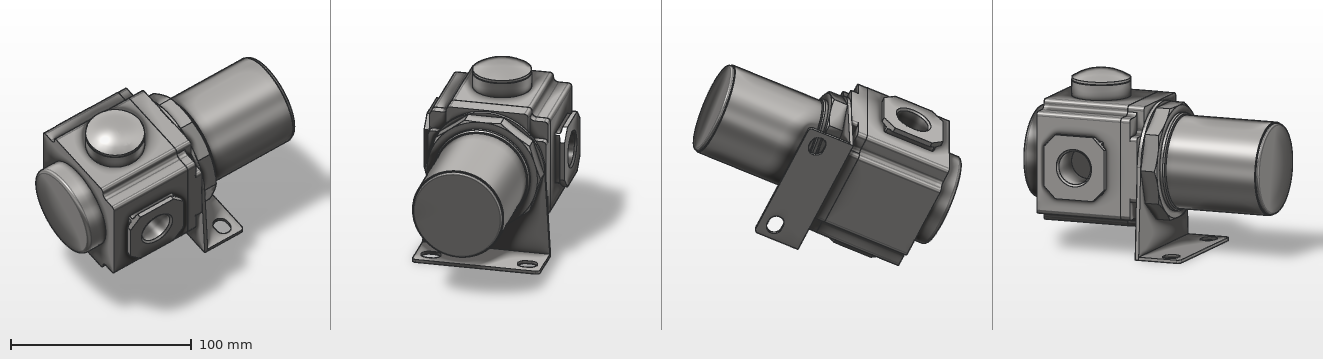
import cadquery as cq
import math


CAP_FRONT = -36.2
BODY_FRONT = -24.7
BODY_REAR = 25.3
NOTCH_FRONT = 30.8
COVER_REAR = 35.0
PLATE_REAR = 37.1
NUT_REAR = 46.1
COLLAR_REAR = 48.6
KNOB_FRONT = 49.3
KNOB_LENGTH = 55.0
KNOB_REAR = KNOB_FRONT + KNOB_LENGTH

BODY_HALF_WIDTH = 33.7
BODY_HALF_HEIGHT = 34.0
RIDGE_HALF_WIDTH = 23.2
SHOULDER_HEIGHT = 28.7
NOTCH_SHOULDER_HEIGHT = 18.4
CORNER_RADIUS = 2.1
INNER_RADIUS = 3.0
COVER_INSET = 0.1
COVER_RIDGE_HALF_WIDTH = 23.3
SELECTION_MARGIN = 0.1

CAP_RADIUS = 26.0
CAP_ROUND = 1.8
KNOB_RADIUS = 26.0
KNOB_TIP_RADIUS = 25.3
KNOB_TIP_LENGTH = 1.7
KNOB_STEP_CHAMFER = 0.4
KNOB_TIP_ROUND = 0.8
NECK_RADIUS = 22.9
COLLAR_RADIUS = 27.4
COLLAR_CHAMFER = 0.8

NUT_SIDES = 10
NUT_CORNER_RADIUS = 33.0
NUT_CHAMFER_ANGLE = 30

BRACKET_ARC_RADIUS = 33.3
BRACKET_HALF_WIDTH = 36.2
BRACKET_BOTTOM = -49.9
FOOT_THICKNESS = 1.8
FOOT_REAR = 61.7
FOOT_CORNER_RADIUS = 2.1
SLOT_WIDTH = 8.6
SLOT_LENGTH = 11.2
SLOT_OUTER_END = 33.0
SLOT_Y = 53.0

PORT_FACE_SPACING = 80.0
PORT_FACE = PORT_FACE_SPACING / 2
FLANGE_THICKNESS = 2.7
FLANGE_TAPER = 0.8
FLANGE_HALF_SIZE = 18.0
PORT_NECK_HALF_SIZE = 15.0
PORT_DIAGONAL_HALF_SIZE = 20.7
PORT_RADIUS = 9.4
PORT_CHAMFER = 1.1
PORT_DEPTH = 19.7

BUTTON_RADIUS = 16.5
BUTTON_BAND_RADIUS = 16.3
BUTTON_SIDE_TOP = 42.5
BUTTON_BAND_BASE = 42.9
DOME_BASE = 44.3
DOME_TOP = 49.2


def disc(radius, start, end):
    """Cylinder on the main axis between two stations."""
    return cq.Workplane("XZ", origin=(0, start, 0)).circle(radius).extrude(start - end)


def stepped_block(start, end, ridge_half_width, shoulder_height, inset=0):
    """Block along Y with a step in each long edge; the inset shrinks its outermost faces."""
    length = end - start
    outer_width = 2 * (BODY_HALF_WIDTH - inset)
    outer_height = 2 * (BODY_HALF_HEIGHT - inset)
    ridge = cq.Workplane().box(2 * ridge_half_width, length, outer_height)
    sides = cq.Workplane().box(outer_width, length, 2 * shoulder_height)
    block = ridge.edges("|Y").fillet(CORNER_RADIUS).union(sides.edges("|Y").fillet(CORNER_RADIUS))
    search_x = ridge_half_width + SELECTION_MARGIN
    search_z = shoulder_height + SELECTION_MARGIN
    inner_corners = cq.selectors.BoxSelector(
        (-search_x, -SELECTION_MARGIN, -search_z), (search_x, SELECTION_MARGIN, search_z)
    )
    block = block.edges("|Y").edges(inner_corners).fillet(INNER_RADIUS)
    return block.translate((0, (start + end) / 2, 0))


def make_housing():
    """Body and rear cover; the cover's corners are notched deeper towards the rear."""
    body = stepped_block(BODY_FRONT, BODY_REAR, RIDGE_HALF_WIDTH, SHOULDER_HEIGHT)
    cover_shoulder = SHOULDER_HEIGHT - COVER_INSET
    cover = stepped_block(BODY_REAR, NOTCH_FRONT, RIDGE_HALF_WIDTH, cover_shoulder, COVER_INSET)
    notched_cover = stepped_block(
        BODY_REAR, COVER_REAR, COVER_RIDGE_HALF_WIDTH, NOTCH_SHOULDER_HEIGHT, COVER_INSET
    )
    return body.union(cover).union(notched_cover)


def make_front_cap():
    return disc(CAP_RADIUS, CAP_FRONT, BODY_FRONT).faces("<Y").edges().fillet(CAP_ROUND)


def make_nut():
    """Ten-sided nut with its rear corners cut by a cone that touches the flats."""
    nut = (
        cq.Workplane("XZ", origin=(0, PLATE_REAR, 0))
        .polygon(NUT_SIDES, 2 * NUT_CORNER_RADIUS)
        .extrude(PLATE_REAR - NUT_REAR)
    )
    flat_radius = NUT_CORNER_RADIUS * math.cos(math.pi / NUT_SIDES)
    thickness = NUT_REAR - PLATE_REAR
    base_radius = flat_radius + thickness / math.tan(math.radians(NUT_CHAMFER_ANGLE))
    cone = (
        cq.Workplane("XY")
        .polyline([(0, PLATE_REAR), (base_radius, PLATE_REAR), (flat_radius, NUT_REAR), (0, NUT_REAR)])
        .close()
        .revolve(360, (0, 0, 0), (0, 1, 0))
    )
    return nut.intersect(cone)


def make_knob():
    """Knob with a stepped, rounded tip, joined to the nut by a neck and a chamfered collar."""
    tip_start = KNOB_REAR - KNOB_TIP_LENGTH
    collar = disc(COLLAR_RADIUS, NUT_REAR, COLLAR_REAR).faces(">Y").edges().chamfer(COLLAR_CHAMFER)
    neck = disc(NECK_RADIUS, COLLAR_REAR, KNOB_FRONT)
    grip = disc(KNOB_RADIUS, KNOB_FRONT, tip_start).faces(">Y").edges().chamfer(KNOB_STEP_CHAMFER)
    tip = disc(KNOB_TIP_RADIUS, tip_start, KNOB_REAR).faces(">Y").edges().fillet(KNOB_TIP_ROUND)
    return collar.union(neck).union(grip).union(tip)


def make_bracket():
    """Upright plate with an arched top and tangent sides, bent into a slotted foot."""
    corner_distance = math.hypot(BRACKET_HALF_WIDTH, BRACKET_BOTTOM)
    corner_angle = math.atan2(BRACKET_BOTTOM, BRACKET_HALF_WIDTH)
    tangent_angle = corner_angle + math.acos(BRACKET_ARC_RADIUS / corner_distance)
    tangent_x = BRACKET_ARC_RADIUS * math.cos(tangent_angle)
    tangent_z = BRACKET_ARC_RADIUS * math.sin(tangent_angle)
    plate = (
        cq.Workplane("XZ", origin=(0, COVER_REAR, 0))
        .moveTo(-BRACKET_HALF_WIDTH, BRACKET_BOTTOM)
        .lineTo(BRACKET_HALF_WIDTH, BRACKET_BOTTOM)
        .lineTo(tangent_x, tangent_z)
        .threePointArc((0, BRACKET_ARC_RADIUS), (-tangent_x, tangent_z))
        .close()
        .extrude(COVER_REAR - PLATE_REAR)
    )
    foot_middle = (PLATE_REAR + FOOT_REAR) / 2
    slot_x = SLOT_OUTER_END - SLOT_LENGTH / 2
    foot = (
        cq.Workplane("XY", origin=(0, 0, BRACKET_BOTTOM))
        .center(0, foot_middle)
        .rect(2 * BRACKET_HALF_WIDTH, FOOT_REAR - PLATE_REAR)
        .extrude(FOOT_THICKNESS)
        .edges("|Z and >Y")
        .fillet(FOOT_CORNER_RADIUS)
    )
    slots = (
        cq.Workplane("XY", origin=(0, SLOT_Y, BRACKET_BOTTOM))
        .pushPoints([(-slot_x, 0), (slot_x, 0)])
        .slot2D(SLOT_LENGTH, SLOT_WIDTH)
        .extrude(FOOT_THICKNESS)
    )
    return plate.union(foot.cut(slots))


def make_port():
    """Port on the +X side: square neck and flange, with corners cut flush by one diagonal prism."""
    taper_end = PORT_FACE - FLANGE_THICKNESS
    taper_start = taper_end - FLANGE_TAPER
    neck = (
        cq.Workplane("YZ", origin=(BODY_HALF_WIDTH, 0, 0))
        .rect(2 * PORT_NECK_HALF_SIZE, 2 * PORT_NECK_HALF_SIZE)
        .extrude(taper_start - BODY_HALF_WIDTH)
    )
    taper = (
        cq.Workplane("YZ", origin=(taper_start, 0, 0))
        .rect(2 * PORT_NECK_HALF_SIZE, 2 * PORT_NECK_HALF_SIZE)
        .workplane(offset=FLANGE_TAPER)
        .rect(2 * FLANGE_HALF_SIZE, 2 * FLANGE_HALF_SIZE)
        .loft(ruled=True)
    )
    flange = (
        cq.Workplane("YZ", origin=(taper_end, 0, 0))
        .rect(2 * FLANGE_HALF_SIZE, 2 * FLANGE_HALF_SIZE)
        .extrude(FLANGE_THICKNESS)
    )
    diagonal_prism = (
        cq.Workplane("YZ", origin=(BODY_HALF_WIDTH, 0, 0))
        .transformed(rotate=(0, 0, 45))
        .rect(2 * PORT_DIAGONAL_HALF_SIZE, 2 * PORT_DIAGONAL_HALF_SIZE)
        .extrude(PORT_FACE - BODY_HALF_WIDTH)
    )
    return neck.union(taper).union(flange).intersect(diagonal_prism)


def make_port_hole():
    """Blind hole of the +X port, with a chamfered mouth."""
    bottom = PORT_FACE - PORT_DEPTH
    mouth_radius = PORT_RADIUS + PORT_CHAMFER
    return (
        cq.Workplane("XY")
        .moveTo(bottom, 0)
        .lineTo(bottom, PORT_RADIUS)
        .lineTo(PORT_FACE - PORT_CHAMFER, PORT_RADIUS)
        .lineTo(PORT_FACE, mouth_radius)
        .lineTo(PORT_FACE, 0)
        .close()
        .revolve(360, (0, 0, 0), (1, 0, 0))
    )


def make_button():
    """Button with a slightly smaller band under a spherical dome."""
    dome_height = DOME_TOP - DOME_BASE
    sphere_radius = (BUTTON_BAND_RADIUS**2 + dome_height**2) / (2 * dome_height)
    half_angle = math.asin(BUTTON_BAND_RADIUS / sphere_radius) / 2
    dome_middle = (
        sphere_radius * math.sin(half_angle),
        DOME_TOP - sphere_radius * (1 - math.cos(half_angle)),
    )
    return (
        cq.Workplane("XZ")
        .lineTo(BUTTON_RADIUS, 0)
        .lineTo(BUTTON_RADIUS, BUTTON_SIDE_TOP)
        .lineTo(BUTTON_BAND_RADIUS, BUTTON_BAND_BASE)
        .lineTo(BUTTON_BAND_RADIUS, DOME_BASE)
        .threePointArc(dome_middle, (0, DOME_TOP))
        .close()
        .revolve(360, (0, 0, 0), (0, 1, 0))
    )


result = make_housing()
for feature in (make_front_cap(), make_bracket(), make_nut(), make_knob(), make_button()):
    result = result.union(feature)

port = make_port()
port_hole = make_port_hole()
for port_angle in (0, 180):
    result = result.union(port.rotate((0, 0, 0), (0, 0, 1), port_angle))
    result = result.cut(port_hole.rotate((0, 0, 0), (0, 0, 1), port_angle))